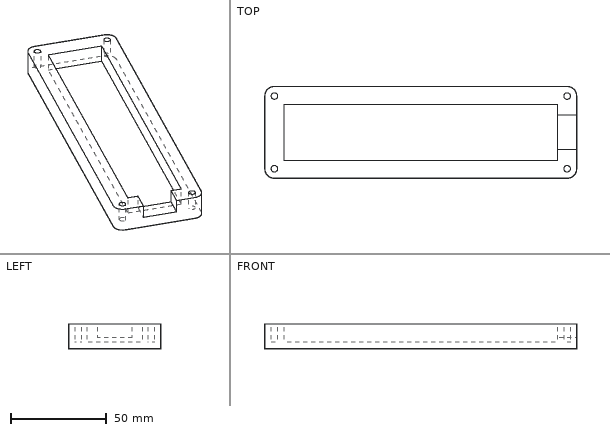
import cadquery as cq

length = 163.0
width = 48.1
height = 13.0
corner_radius = 5.0

end_wall = 10.0
side_wall = 9.5
pocket_depth = 9.5
pocket_length = length - 2 * end_wall
pocket_width = width - 2 * side_wall

notch_width = 18.1
notch_depth = 7.0

hole_diameter = 3.5
hole_depth = pocket_depth
hole_spacing_x = length - 2 * corner_radius
hole_spacing_y = width - 2 * corner_radius


def make_block():
    block = cq.Workplane("XY").box(length, width, height, centered=(True, True, False))
    return block.edges("|Z").fillet(corner_radius)


def make_pocket():
    floor = cq.Workplane("XY").workplane(offset=height - pocket_depth)
    return floor.rect(pocket_length, pocket_width).extrude(pocket_depth)


def make_notch():
    floor = cq.Workplane("XY").workplane(offset=height - notch_depth)
    wall_centre_x = (length - end_wall) / 2
    return floor.center(wall_centre_x, 0).rect(end_wall, notch_width).extrude(notch_depth)


def make_screw_holes():
    bottom = cq.Workplane("XY").workplane(offset=height - hole_depth)
    centres = bottom.rect(hole_spacing_x, hole_spacing_y, forConstruction=True).vertices()
    return centres.circle(hole_diameter / 2).extrude(hole_depth)


result = make_block().cut(make_pocket()).cut(make_notch()).cut(make_screw_holes())